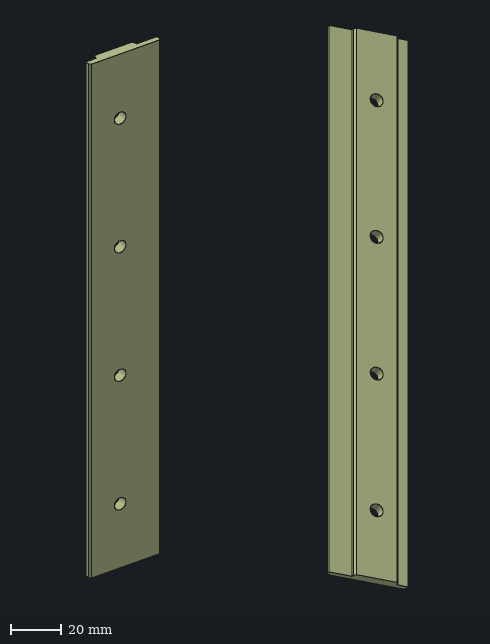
import cadquery as cq

length = 240.0
width = 34.8
thickness = 5.0

band_height = 2.2
band_width = 19.7
band_margin = 10.0
band_center_y = width / 2 - band_margin - band_width / 2

band_edge_chamfer = 1.0
back_edge_chamfer = 1.0

hole_diameter = 5.5
hole_count = 4
hole_pitch = length / hole_count


def bar(x_min, x_max, center_y, bar_width):
    """Full-length rectangular bar, centred on Z = 0."""
    return cq.Workplane("XY").box(x_max - x_min, bar_width, length).translate(
        ((x_min + x_max) / 2, center_y, 0)
    )


front_x = -thickness / 2
back_x = thickness / 2
flange_x = front_x + band_height

strip = bar(flange_x, back_x, 0, width).edges("|Z and >X").chamfer(back_edge_chamfer)

band = bar(front_x, back_x, band_center_y, band_width).edges("|Z and <X").chamfer(band_edge_chamfer)

holes = (
    cq.Workplane("YZ", origin=(front_x, band_center_y, 0))
    .rarray(2.5, hole_pitch, 1, hole_count)
    .circle(hole_diameter / 2)
    .extrude(thickness)
)

result = strip.union(band).cut(holes)